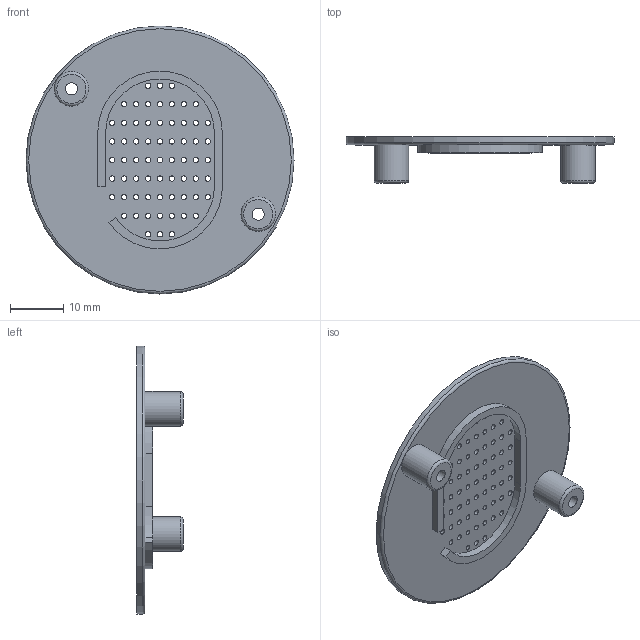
import cadquery as cq
import math

plate_diameter = 50.5
plate_thickness = 1.5
plate_edge_round = 0.5

total_depth = 8.7
post_diameter = 6.5
post_bore_diameter = 2.3
post_edge_round = 0.5
post_centers = [(-16.7, 13.4), (18.5, -10.2)]

rim_outer_radius = 11.75
rim_width = 1.5
rim_height = 1.5
rim_arc_offset = 5.0
rim_gap_angle = 35.0

vent_diameter = 1.0
vent_pitch_x = 2.25
vent_pitch_z = 3.5
vents_per_row = [3, 7, 9, 9, 9, 9, 9, 7, 3]

rim_inner_radius = rim_outer_radius - rim_width


def front_plane(depth=0.0):
    """Sketch plane with local x = X and y = Z, lying `depth` in front of the back face."""
    return cq.Workplane("XZ", origin=(0, -depth, 0))


def make_plate():
    disc = front_plane().circle(plate_diameter / 2).extrude(plate_thickness)
    return disc.faces("<Y").edges().fillet(plate_edge_round)


def make_posts():
    height = total_depth - plate_thickness
    posts = front_plane(plate_thickness).pushPoints(post_centers).circle(post_diameter / 2).extrude(height)
    return posts.faces("<Y").edges().fillet(post_edge_round)


def lower_arc_point(radius, angle):
    """Point on the lower half ring; the angle runs from the -X side down and round to +X."""
    turn = math.radians(angle)
    return (-radius * math.cos(turn), -rim_arc_offset - radius * math.sin(turn))


def make_rim():
    outer = rim_outer_radius
    inner = rim_inner_radius
    offset = rim_arc_offset
    arc_middle = (rim_gap_angle + 180) / 2
    profile = (
        front_plane(plate_thickness)
        .moveTo(-outer, -offset)
        .lineTo(-outer, offset)
        .threePointArc((0, offset + outer), (outer, offset))
        .lineTo(outer, -offset)
        .threePointArc(lower_arc_point(outer, arc_middle), lower_arc_point(outer, rim_gap_angle))
        .lineTo(*lower_arc_point(inner, rim_gap_angle))
        .threePointArc(lower_arc_point(inner, arc_middle), (inner, -offset))
        .lineTo(inner, offset)
        .threePointArc((0, offset + inner), (-inner, offset))
        .lineTo(-inner, -offset)
        .close()
    )
    return profile.extrude(rim_height)


def vent_centers():
    centers = []
    middle_row = (len(vents_per_row) - 1) / 2
    for row, count in enumerate(vents_per_row):
        z = (middle_row - row) * vent_pitch_z
        for column in range(count):
            x = (column - (count - 1) / 2) * vent_pitch_x
            centers.append((x, z))
    return centers


def make_through_holes():
    vents = front_plane().pushPoints(vent_centers()).circle(vent_diameter / 2).extrude(plate_thickness)
    bores = front_plane().pushPoints(post_centers).circle(post_bore_diameter / 2).extrude(total_depth)
    return vents.add(bores).combine()


body = make_plate().union(make_posts()).union(make_rim())
result = body.cut(make_through_holes())